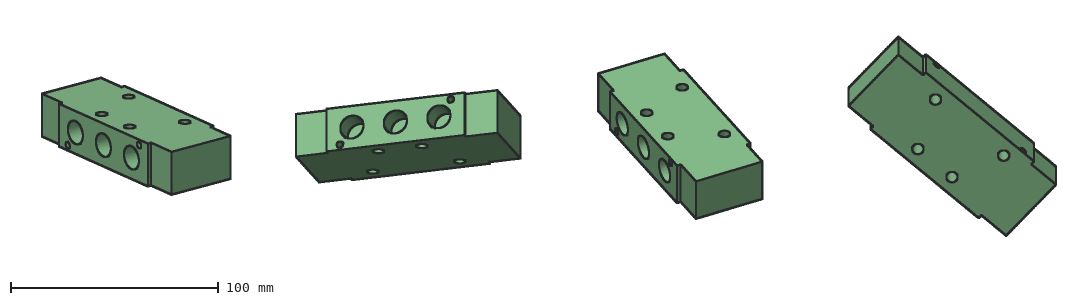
import cadquery as cq

total_length = 102.0
height = 22.0
middle_length = 70.0
middle_width = 40.0
end_width = 36.0

port_pitch = 22.0
port_diameter = 11.7
port_depth = port_diameter

mount_diameter = 5.5
mount_row_spacing = 25.0
front_mount_spacing = port_pitch
rear_mount_spacing = 2 * port_pitch

pilot_diameter = 3.3
pilot_offset_x = 28.0
pilot_offset_z = 8.3


def make_front_drills(points, diameter, depth):
    """Cylinders running from the -Y face toward +Y, at (x, z) points."""
    front_plane = cq.Workplane("XZ", origin=(0, -middle_width / 2, 0))
    return front_plane.pushPoints(points).circle(diameter / 2).extrude(-depth)


def make_port_drills():
    """Cylinders for the three ports."""
    points = [(index * port_pitch, 0) for index in (-1, 0, 1)]
    return make_front_drills(points, port_diameter, port_depth)


def make_pilot_drills():
    """Cylinders for the two pilot holes, through the full width."""
    points = [(side * pilot_offset_x, side * pilot_offset_z) for side in (-1, 1)]
    return make_front_drills(points, pilot_diameter, middle_width)


def make_mount_drills():
    """Vertical cylinders for the four mounting holes."""
    front_points = [(side * front_mount_spacing / 2, -mount_row_spacing / 2) for side in (-1, 1)]
    rear_points = [(side * rear_mount_spacing / 2, mount_row_spacing / 2) for side in (-1, 1)]
    bottom_plane = cq.Workplane("XY", origin=(0, 0, -height / 2))
    return bottom_plane.pushPoints(front_points + rear_points).circle(mount_diameter / 2).extrude(height)


def make_valve_block():
    """Block with narrower ends, drilled with its ports, pilot holes and mounting holes."""
    middle = cq.Workplane("XY").box(middle_length, middle_width, height)
    ends = cq.Workplane("XY").box(total_length, end_width, height)
    block = middle.union(ends).clean()
    for drills in (make_port_drills(), make_pilot_drills(), make_mount_drills()):
        block = block.cut(drills)
    return block


valve_block = make_valve_block()

result = cq.Compound.makeCompound([valve_block.solids().val()])